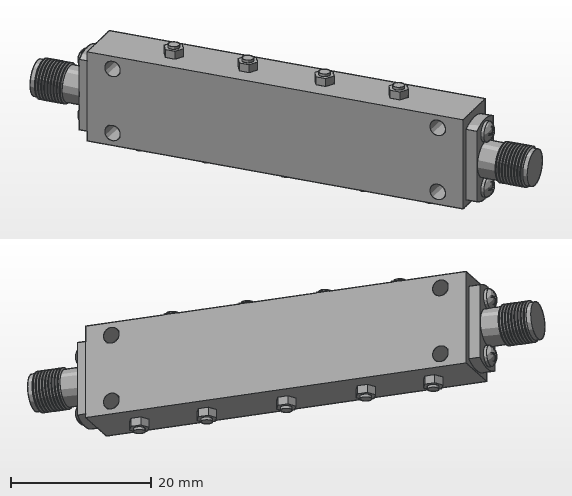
import cadquery as cq
import math

overall_length = 77.3
overall_height = 17.3
body_length = 58.45
body_depth = 8.0
body_height = 14.0
mount_hole_diameter = 2.4
mount_hole_x = 25.3
mount_hole_z = 5.0

nut_across_flats = 2.6
nut_height = 1.2
stud_diameter = 1.7
stud_height = (overall_height - body_height) / 2
top_stud_x = [-17.5, -5.95, 5.95, 17.5]
bottom_stud_x = [-22.6, -12.2, 0, 12.2, 22.6]

connector_z = -0.5
flange_length = 12.5
flange_width = 5.9
flange_thickness = 1.7
barrel_diameter = 5.5
thread_diameter = 6.0
thread_pitch = 0.48
crest_width = 0.115
thread_count = 9
thread_end_gap = 0.7

screw_spacing = 8.65
head_diameter = 3.1
head_rim_height = 0.5
head_height = 1.3
recess_length = 1.8
recess_width = 0.2
recess_depth = 0.7
recess_core_diagonal = 0.85

body_end = body_length / 2
flange_face = body_end + flange_thickness
barrel_end = overall_length / 2


def make_body():
    """Rectangular block with four mounting holes through its depth."""
    block = cq.Workplane("XY").box(body_length, body_depth, body_height)
    holes = (
        cq.Workplane("XZ")
        .rect(2 * mount_hole_x, 2 * mount_hole_z, forConstruction=True)
        .vertices()
        .circle(mount_hole_diameter / 2)
        .extrude(body_depth, both=True)
    )
    return block.cut(holes)


def make_studs(x_positions):
    """Studs on the top face, each with two nut corners along X."""
    points = [(x, 0) for x in x_positions]
    face = cq.Workplane("XY").workplane(offset=body_height / 2).pushPoints(points)
    nut_across_corners = nut_across_flats / math.cos(math.radians(30))
    nuts = face.polygon(6, nut_across_corners).extrude(nut_height)
    screws = face.circle(stud_diameter / 2).extrude(stud_height)
    return nuts.union(screws)


def make_flange():
    """Flange plate with flat sides and ends rounded about the connector axis."""
    plate = cq.Workplane("YZ", origin=(body_end, 0, connector_z))
    disc = plate.circle(flange_length / 2).extrude(flange_thickness)
    strip = plate.rect(flange_width, flange_length).extrude(flange_thickness)
    return disc.intersect(strip)


def make_barrel():
    """Round barrel whose threads are a row of narrow-crested ridges."""
    root_radius = barrel_diameter / 2
    crest_radius = thread_diameter / 2
    thread_end = barrel_end - thread_end_gap
    profile = (
        cq.Workplane("XY", origin=(0, 0, connector_z))
        .moveTo(flange_face, 0)
        .lineTo(flange_face, root_radius)
    )
    for index in range(thread_count):
        ridge_start = thread_end - (thread_count - index) * thread_pitch
        profile = (
            profile.lineTo(ridge_start, root_radius)
            .lineTo(ridge_start + (thread_pitch - crest_width) / 2, crest_radius)
            .lineTo(ridge_start + (thread_pitch + crest_width) / 2, crest_radius)
        )
    profile = (
        profile.lineTo(thread_end, root_radius)
        .lineTo(barrel_end, root_radius)
        .lineTo(barrel_end, 0)
        .close()
    )
    return profile.revolve(360, (0, 0, 0), (1, 0, 0))


def make_flange_screw(z):
    """Domed screw head with a short cylindrical rim and a cross recess that has a square core."""
    head_radius = head_diameter / 2
    dome_height = head_height - head_rim_height
    dome_radius = (head_radius**2 + dome_height**2) / (2 * dome_height)
    rim_x = flange_face + head_rim_height
    crown_x = flange_face + head_height
    middle_y = head_radius / 2
    middle_x = crown_x - dome_radius + math.sqrt(dome_radius**2 - middle_y**2)
    head = (
        cq.Workplane("XY", origin=(0, 0, z))
        .moveTo(flange_face, 0)
        .lineTo(flange_face, head_radius)
        .lineTo(rim_x, head_radius)
        .threePointArc((middle_x, middle_y), (crown_x, 0))
        .close()
        .revolve(360, (0, 0, 0), (1, 0, 0))
    )
    crown = cq.Workplane("YZ", origin=(crown_x, 0, z))
    upright_slot = crown.rect(recess_width, recess_length).extrude(-recess_depth)
    level_slot = crown.rect(recess_length, recess_width).extrude(-recess_depth)
    core = crown.polygon(4, recess_core_diagonal).extrude(-recess_depth)
    return head.cut(upright_slot).cut(level_slot).cut(core)


def make_connector():
    """Complete connector for the +X end."""
    connector = make_flange().union(make_barrel())
    for side in (-1, 1):
        connector = connector.union(make_flange_screw(connector_z + side * screw_spacing / 2))
    return connector


right_connector = make_connector()
left_connector = right_connector.mirror("YZ")
top_studs = make_studs(top_stud_x)
bottom_studs = make_studs(bottom_stud_x).mirror("XY")

result = (
    make_body()
    .union(top_studs)
    .union(bottom_studs)
    .union(right_connector)
    .union(left_connector)
)